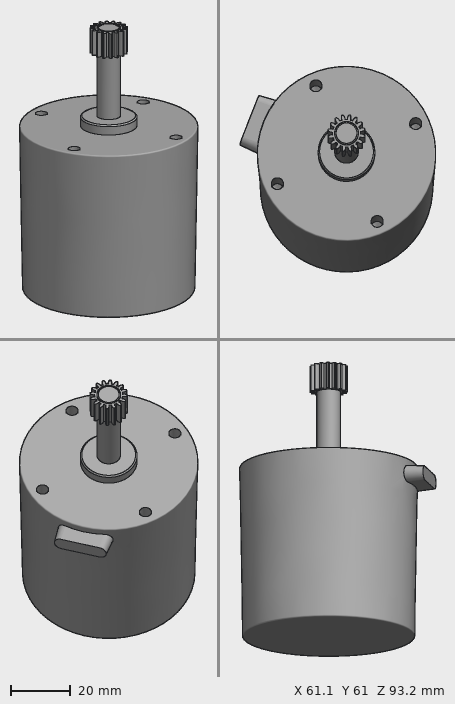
import cadquery as cq
import math

CAN_RADIUS = 30.0
CAN_HEIGHT = 58.25
CAN_DRAFT = 1.0
RIM_FILLET = 0.5
CAN_BASE_RADIUS = CAN_RADIUS - CAN_HEIGHT * math.tan(math.radians(CAN_DRAFT))

HUB_DIAMETER = 19.05
HUB_HEIGHT = 3.5
HUB_CHAMFER = 0.5
SHAFT_DIAMETER = 8.0
SHAFT_LENGTH = 35.0
SHAFT_CHAMFER = 0.5

HOLE_DIAMETER = 4.04
HOLE_COUNT = 4
BOLT_CIRCLE_DIAMETER = 50.8
HOLE_DEPTH = 10.0
DRILL_POINT_ANGLE = 118.0

OUTLET_DIRECTION = 135.0
OUTLET_REACH = 34.9
OUTLET_WIDTH = 18.1
OUTLET_HEIGHT = 4.8
OUTLET_DRAFT = 4.5
OUTLET_DROP = 5.3
OUTLET_SHIFT = 0.08
OUTLET_LENGTH = 15.0

TOOTH_COUNT = 16
MODULE = 0.7
DEDENDUM = 1.25 * MODULE
PRESSURE_ANGLE = math.radians(20.0)
PINION_LENGTH = 8.8
PITCH_RADIUS = TOOTH_COUNT * MODULE / 2
TIP_RADIUS = PITCH_RADIUS + MODULE
ROOT_RADIUS = PITCH_RADIUS - DEDENDUM
BASE_RADIUS = PITCH_RADIUS * math.cos(PRESSURE_ANGLE)


def make_can():
    profile = (
        cq.Workplane("XZ")
        .lineTo(CAN_BASE_RADIUS, 0)
        .lineTo(CAN_RADIUS, CAN_HEIGHT)
        .lineTo(0, CAN_HEIGHT)
        .close()
    )
    can = profile.revolve(360, (0, 0), (0, 1))
    return can.faces("<Z or >Z").edges().fillet(RIM_FILLET)


def make_outlet():
    angle = math.radians(OUTLET_DIRECTION)
    outward = cq.Vector(math.cos(angle), math.sin(angle), 0)
    sideways = cq.Vector(-math.sin(angle), math.cos(angle), 0)
    end_centre = outward * OUTLET_REACH + sideways * OUTLET_SHIFT + cq.Vector(0, 0, CAN_HEIGHT - OUTLET_DROP)
    end_plane = cq.Plane(origin=end_centre, xDir=sideways, normal=-outward)
    return (
        cq.Workplane(end_plane)
        .slot2D(OUTLET_WIDTH, OUTLET_HEIGHT)
        .extrude(OUTLET_LENGTH, taper=-OUTLET_DRAFT)
    )


def make_hub():
    hub = cq.Workplane().workplane(offset=CAN_HEIGHT).circle(HUB_DIAMETER / 2).extrude(HUB_HEIGHT)
    return hub.faces(">Z").chamfer(HUB_CHAMFER)


def make_shaft_cylinder():
    return cq.Workplane().workplane(offset=CAN_HEIGHT).circle(SHAFT_DIAMETER / 2).extrude(SHAFT_LENGTH)


def make_shaft():
    return make_shaft_cylinder().faces(">Z").chamfer(SHAFT_CHAMFER)


def make_mounting_holes():
    hole_radius = HOLE_DIAMETER / 2
    point_depth = hole_radius / math.tan(math.radians(DRILL_POINT_ANGLE / 2))
    drill = (
        cq.Workplane("XZ")
        .lineTo(hole_radius, 0)
        .lineTo(hole_radius, -HOLE_DEPTH)
        .lineTo(0, -HOLE_DEPTH - point_depth)
        .close()
        .revolve(360, (0, 0), (0, 1))
        .val()
    )
    return (
        cq.Workplane()
        .workplane(offset=CAN_HEIGHT)
        .polarArray(BOLT_CIRCLE_DIAMETER / 2, 0, 360, HOLE_COUNT)
        .eachpoint(lambda location: drill.moved(location), combine=False)
    )


def make_motor():
    motor = make_can().union(make_outlet()).union(make_hub()).union(make_shaft())
    for hole in make_mounting_holes().vals():
        motor = motor.cut(cq.Workplane(hole))
    return motor


def polar(radius, angle):
    return (radius * math.cos(angle), radius * math.sin(angle))


def involute(angle):
    return math.tan(angle) - angle


def half_tooth_angle(radius):
    """Angle from a tooth's centre line to its flank at the given radius."""
    roll = math.acos(BASE_RADIUS / radius)
    return math.pi / (2 * TOOTH_COUNT) + involute(PRESSURE_ANGLE) - involute(roll)


def make_pinion():
    pitch_angle = 2 * math.pi / TOOTH_COUNT
    radii = [BASE_RADIUS, PITCH_RADIUS, TIP_RADIUS]
    root_half_angle = half_tooth_angle(BASE_RADIUS)
    first_centre = pitch_angle / 2

    outline = cq.Workplane().workplane(offset=CAN_HEIGHT + SHAFT_LENGTH - PINION_LENGTH)
    outline = outline.moveTo(*polar(ROOT_RADIUS, first_centre - root_half_angle))
    for tooth in range(TOOTH_COUNT):
        centre = first_centre + tooth * pitch_angle
        next_root = centre + pitch_angle - root_half_angle
        rising = [polar(r, centre - half_tooth_angle(r)) for r in radii]
        falling = [polar(r, centre + half_tooth_angle(r)) for r in reversed(radii)]
        outline = (
            outline.lineTo(*rising[0])
            .threePointArc(*rising[1:])
            .threePointArc(polar(TIP_RADIUS, centre), falling[0])
            .threePointArc(*falling[1:])
            .lineTo(*polar(ROOT_RADIUS, centre + root_half_angle))
            .threePointArc(polar(ROOT_RADIUS, centre + pitch_angle / 2), polar(ROOT_RADIUS, next_root))
        )
    blank = outline.close().extrude(PINION_LENGTH)
    bore = make_shaft_cylinder()
    return blank.cut(bore)


motor = make_motor()
pinion = make_pinion()

result = cq.Compound.makeCompound([motor.val(), pinion.val()])